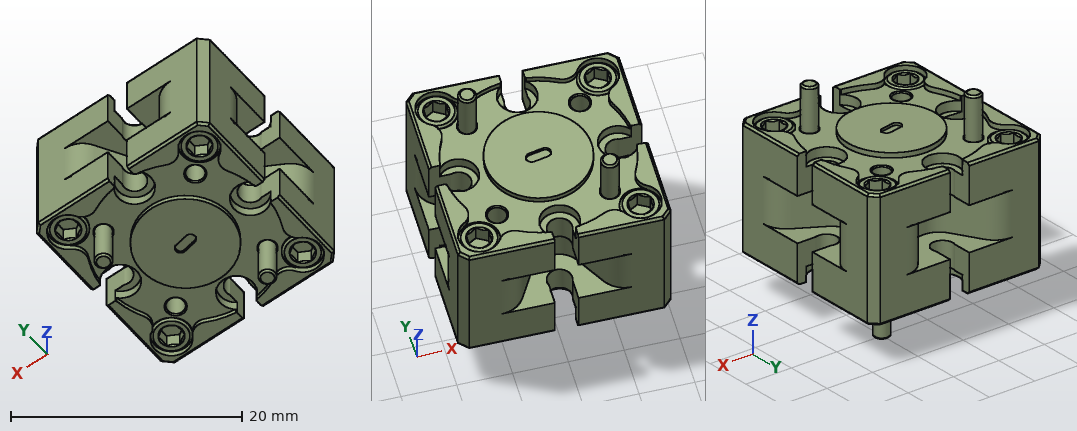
import cadquery as cq
import math

body_width = 19.05
body_height = 12.7
corner_chamfer = 0.8
rim_chamfer = 0.23
top_z = body_height / 2
half_width = body_width / 2

relief_depth = 0.51
relief_radius = 8.58
relief_blend_radius = 1.35
disk_radius = 4.77
relief_z = top_z - relief_depth

window_length = 2.31
window_width = 1.0
window_depth = 0.27
window_angle = 11.25

screw_offset = 7.23
screw_radius = 1.85
head_drop = 0.37
head_chamfer = 0.25
hex_flats = 2.0
hex_depth = 1.5
hex_corner_radius = hex_flats / math.sqrt(3)
head_z = top_z - head_drop
seat_z = head_z - head_chamfer

bolt_circle_radius = 7.15
slot_width = 2.1
slot_end_radius = 1.13
slot_bore_radius = 1.78
slot_bore_depth = 1.51

pin_offset = bolt_circle_radius / math.sqrt(2)
pin_tip_z = 10.24
pin_radius = 0.8
pin_tip_chamfer = 0.18
pin_ring_width = 0.1
pin_hole_radius = 0.85
pin_hole_chamfer = 0.12
pin_hole_depth = 4.1

pocket_height = 4.59
mouth_half_width = 5.8
floor_half_width = 0.18
mouth_radius = 2.5
floor_radius = 2.07
flank_angle = 60.0

overlap = 0.2

SCREW_POINTS = [(sx * screw_offset, sy * screw_offset) for sx in (-1, 1) for sy in (-1, 1)]
PIN_POINTS = [(-pin_offset, pin_offset), (pin_offset, -pin_offset)]
HOLE_POINTS = [(-pin_offset, -pin_offset), (pin_offset, pin_offset)]


def level(z):
    """Horizontal workplane at height z."""
    return cq.Workplane("XY").workplane(offset=z)


def four_sides(shape):
    """Copies of a -Y side feature on all four sides."""
    copies = cq.Workplane("XY")
    for turn in range(4):
        copies = copies.add(shape.rotate((0, 0, 0), (0, 0, 1), 90 * turn))
    return copies.combine()


def cone(points, z, bottom_radius, top_radius, height):
    """Truncated cones standing on height z."""
    solid = cq.Solid.makeCone(bottom_radius, top_radius, height)
    return level(z).pushPoints(points).eachpoint(lambda place: solid.located(place))


def body():
    block = cq.Workplane("XY").box(body_width, body_width, body_height)
    return block.edges("|Z").chamfer(corner_chamfer).faces("<Z or >Z").chamfer(rim_chamfer)


def blend_centre():
    """Centre of the blend arc tangent to the relief circle and the +X +Y screw circle."""
    to_origin = relief_radius + relief_blend_radius
    to_screw = screw_radius + relief_blend_radius
    spacing = screw_offset * math.sqrt(2)
    cosine = (to_origin**2 + spacing**2 - to_screw**2) / (2 * to_origin * spacing)
    angle = math.radians(45) + math.acos(cosine)
    return to_origin * math.cos(angle), to_origin * math.sin(angle)


def relief():
    """Central circle and screw circles joined by blend arcs, leaving the contact disk standing."""
    depth = relief_depth + overlap
    bx, by = blend_centre()
    kite = level(relief_z).polyline([(0, 0), (bx, by), (screw_offset, screw_offset), (by, bx)]).close()
    blends = level(relief_z).pushPoints([(bx, by), (by, bx)]).circle(relief_blend_radius)
    junction = kite.extrude(depth).cut(blends.extrude(depth))
    circles = level(relief_z).circle(relief_radius).extrude(depth)
    circles = circles.union(level(relief_z).pushPoints(SCREW_POINTS).circle(screw_radius).extrude(depth))
    disk = level(relief_z).circle(disk_radius).extrude(depth)
    return circles.union(four_sides(junction)).cut(disk)


def window():
    cut = level(top_z - window_depth).slot2D(window_length, window_width, window_angle)
    return cut.extrude(window_depth + overlap)


def screw_seats():
    return level(seat_z).pushPoints(SCREW_POINTS).circle(screw_radius).extrude(top_z - seat_z)


def screw_heads():
    return cone(SCREW_POINTS, seat_z, screw_radius, screw_radius - head_chamfer, head_chamfer)


def hex_sockets():
    """Hexagonal sockets with two corners along Y and a conical lead-in."""
    lead_in = hex_corner_radius - hex_flats / 2
    hexagon = level(head_z - hex_depth).transformed(rotate=(0, 0, 90)).pushPoints(SCREW_POINTS)
    sockets = hexagon.polygon(6, 2 * hex_corner_radius).extrude(hex_depth)
    return sockets.union(cone(SCREW_POINTS, head_z - lead_in, hex_flats / 2, hex_corner_radius, lead_in))


def slot_bores():
    bore = level(top_z - slot_bore_depth).center(0, -bolt_circle_radius)
    return four_sides(bore.circle(slot_bore_radius).extrude(slot_bore_depth + overlap))


def slots():
    length = half_width - bolt_circle_radius + overlap
    centre_y = -bolt_circle_radius - length / 2
    channel = cq.Workplane("XY").box(slot_width, length, body_height + overlap).translate((0, centre_y, 0))
    end = level(-top_z).center(0, -bolt_circle_radius).circle(slot_end_radius).extrude(body_height)
    return four_sides(channel.union(end))


def pockets():
    """Pockets at mid-height in the four sides, widening smoothly out to the side faces."""
    sine = math.sin(math.radians(flank_angle))
    cosine = math.cos(math.radians(flank_angle))
    half_sine = math.sin(math.radians(flank_angle / 2))
    half_cosine = math.cos(math.radians(flank_angle / 2))

    face_y = -half_width
    mouth = (mouth_half_width, face_y)
    mouth_middle = (mouth_half_width - mouth_radius * half_sine, face_y + mouth_radius * (1 - half_cosine))
    flank_start = (mouth_half_width - mouth_radius * sine, face_y + mouth_radius * (1 - cosine))
    flank_end_x = floor_half_width + floor_radius * sine
    flank_end = (flank_end_x, flank_start[1] + (flank_start[0] - flank_end_x) * sine / cosine)
    floor_y = flank_end[1] + floor_radius * (1 - cosine)
    floor_middle = (floor_half_width + floor_radius * half_sine, floor_y - floor_radius * (1 - half_cosine))
    floor_end = (floor_half_width, floor_y)

    def mirrored(point):
        return -point[0], point[1]

    profile = level(-pocket_height / 2).moveTo(mouth_half_width, face_y - overlap).lineTo(*mouth)
    profile = profile.threePointArc(mouth_middle, flank_start).lineTo(*flank_end)
    profile = profile.threePointArc(floor_middle, floor_end).lineTo(*mirrored(floor_end))
    profile = profile.threePointArc(mirrored(floor_middle), mirrored(flank_end))
    profile = profile.lineTo(*mirrored(flank_start))
    profile = profile.threePointArc(mirrored(mouth_middle), mirrored(mouth))
    profile = profile.lineTo(-mouth_half_width, face_y - overlap).close()
    return four_sides(profile.extrude(pocket_height))


def pin_holes():
    bottom_z = relief_z - pin_hole_depth
    chamfer_z = relief_z - pin_hole_chamfer
    holes = level(bottom_z).pushPoints(HOLE_POINTS).circle(pin_hole_radius).extrude(pin_hole_depth)
    wide_radius = pin_hole_radius + pin_hole_chamfer
    return holes.union(cone(HOLE_POINTS, chamfer_z, pin_hole_radius, wide_radius, pin_hole_chamfer))


def pin_rings():
    """Small chamfers in the relief floor around the pins."""
    ring_radius = pin_radius + pin_ring_width
    return cone(PIN_POINTS, relief_z - pin_ring_width, pin_radius, ring_radius, pin_ring_width)


def pins():
    root_z = relief_z - pin_hole_depth
    shafts = level(root_z).pushPoints(PIN_POINTS).circle(pin_radius).extrude(pin_tip_z - root_z)
    return shafts.faces(">Z").chamfer(pin_tip_chamfer)


def both_ends(shape):
    """The feature on the top end and, turned half a turn about X, on the bottom end."""
    return shape.union(shape.rotate((0, 0, 0), (1, 0, 0), 180))


result = body()
for end_cut in (relief(), window(), screw_seats(), slot_bores(), pin_holes(), pin_rings()):
    result = result.cut(both_ends(end_cut))
result = result.cut(slots()).cut(pockets())
result = result.union(both_ends(screw_heads())).cut(both_ends(hex_sockets()))
result = result.union(both_ends(pins()))